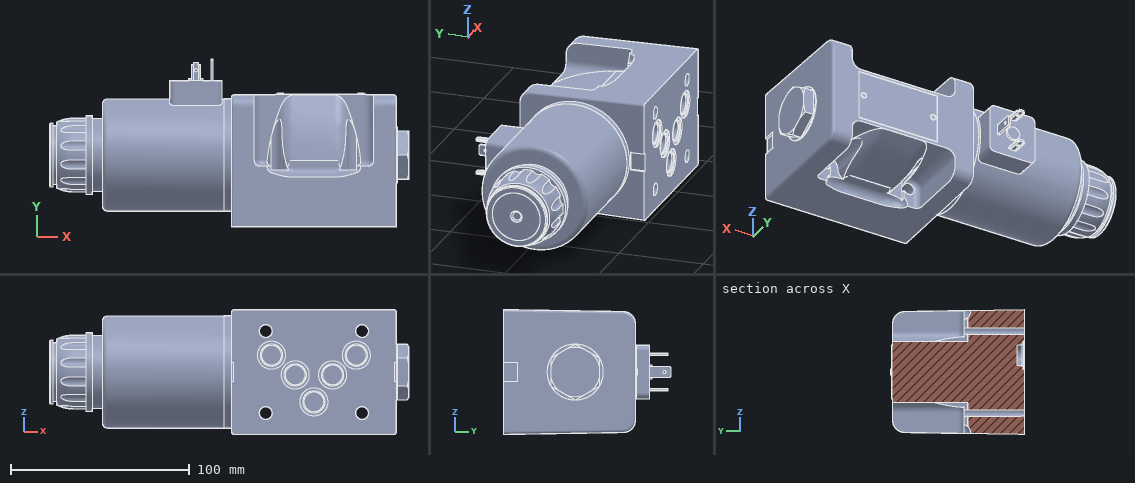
import cadquery as cq
import math


BLOCK_LENGTH = 92.4
BLOCK_DEPTH = 74.0
BLOCK_HEIGHT = 70.0
BLOCK_FAR_HEIGHT = 67.6
BLOCK_CORNER = 7.0
BLOCK_EDGE_FILLET = 1.6
BLOCK_MID_X = BLOCK_LENGTH / 2
AXIS_Y = 40.3

BOLT_DIAMETER = 7.0
BOLT_SPACING_X = 54.0
BOLT_SPACING_Z = 45.9
PORT_RIM_DIAMETER = 15.7
PORT_SEAT_DIAMETER = 12.5
PORT_BORE_DIAMETER = 11.0
PORT_RIM_DEPTH = 0.8
PORT_SEAT_DEPTH = 1.6
PORT_BORE_DEPTH = 4.2
OUTER_PORT_X, OUTER_PORT_Z = 23.8, 9.5
INNER_PORT_X, INNER_PORT_Z = 10.5, -1.6
CENTRE_PORT_Z = -16.7

NOTCH_WIDTH = 10.5
NOTCH_RISE = 8.0
NOTCH_DEPTH = 1.2

POCKET_LENGTH = 66.8
POCKET_START_Y = 34.0
POCKET_FLOOR_Z = 17.1
POCKET_SIDE_FILLET = 5.6
POCKET_END_FILLET = 3.2
RIB_TOP_LENGTH = 23.0
RIB_CREST_Y = 28.0
RIB_CREST_Z = 29.0
RIB_CREST_RADIUS = 94.6
RIB_SHOULDER_RADIUS = 10.0
RIB_FLANK_ANGLE = 48
RELIEF_WALL_X = 18.0
RELIEF_TOP_X = 12.0
RELIEF_START_Y = 32.0
COVE_HALF_LENGTH = 26.2
COVE_FLOOR_Z = 28.4
COVE_RADIUS = 5.5

PLATE_LENGTH = 51.0
PLATE_WIDTH = 30.2
PLATE_THICKNESS = 0.5
PLATE_OFFSET_X = 3.8
RIVET_SPACING = 45.0
RIVET_DIAMETER = 3.2
RIVET_HEIGHT = 1.0

COIL_DIAMETER = 63.0
COIL_LENGTH = 72.3
COIL_FILLET = 3.0
COLLAR_DIAMETER = 63.2
COLLAR_LENGTH = 4.0
CONNECTOR_MID_X = -20.0
CONNECTOR_LENGTH = 29.4
CONNECTOR_WIDTH = 30.2
CONNECTOR_TOP_Y = 82.0
CONNECTOR_CORNER = 3.2
BOSS_DIAMETER = 8.0
BOSS_HEIGHT = 1.2
BLADE_HOLE_DIAMETER = 1.5
BLADE_SPACING_Z = 19.7
BLADE_CORE_WIDTH = 2.8
BLADE_CORE_THICKNESS = 1.5
BLADE_CORE_TOP_Y = 92.2
BLADE_WING_WIDTH = 5.0
BLADE_WING_THICKNESS = 0.8
BLADE_WING_TOP_Y = 91.0
BLADE_HOLE_Y = 87.8
EARTH_BLADE_X = -10.9
EARTH_BLADE_WIDTH = 6.2
EARTH_BLADE_THICKNESS = 1.2
EARTH_BLADE_TOP_Y = 94.0
EARTH_BLADE_CHAMFER = 0.8
EARTH_HOLE_Y = 90.2

NUT_END_X = -101.9
CAP_DIAMETER = 36.0
CAP_LENGTH = 2.0
CAP_CHAMFER = 0.6
CAP_RECESS_DIAMETER = 28.4
CAP_RECESS_DEPTH = 0.2
CAP_HOLE_DIAMETER = 7.0
CAP_HOLE_FLOOR_DIAMETER = 4.8
CAP_HOLE_DEPTH = 1.2
NECK_DIAMETER = 33.0
GRIP_DIAMETER = 41.5
GRIP_NOSE_DIAMETER = 37.0
GRIP_START_X = -97.8
GRIP_STRAIGHT_X = -88.8
FLANGE_DIAMETER = 44.3
TAIL_DIAMETER = 41.0
FLANGE_START_X = -81.5
FLANGE_LENGTH = 3.6
FLUTE_COUNT = 12
FLUTE_RADIUS = 4.0
FLUTE_FLOOR_RADIUS = 19.5

PLUG_END_X = NUT_END_X + 201.3
PLUG_WASHER_DIAMETER = 31.5
PLUG_WASHER_THICKNESS = 0.6
PLUG_HEX_ACROSS_CORNERS = 31.5
PLUG_CHAMFER_RADIAL = 1.8
PLUG_CHAMFER_AXIAL = 1.0


def box_between(x_range, y_range, z_range):
    """Axis-aligned box given by its limits on each axis."""
    size = [high - low for low, high in (x_range, y_range, z_range)]
    corner = (x_range[0], y_range[0], z_range[0])
    return cq.Workplane("XY").box(*size, centered=False).translate(corner)


def rod_along_x(diameter, start_x, length):
    """Cylinder on the common axis of coil, nut and plug."""
    plane = cq.Workplane("YZ", origin=(start_x, AXIS_Y, 0))
    return plane.circle(diameter / 2).extrude(length)


def rods_along_y(points, diameter, start_y, length):
    """Cylinders along +Y at the given (X, Z) points."""
    plane = cq.Workplane(cq.Plane(origin=(0, start_y, 0), xDir=(1, 0, 0), normal=(0, 1, 0)))
    flipped = [(x, -z) for x, z in points]
    return plane.pushPoints(flipped).circle(diameter / 2).extrude(length)



def block_blank():
    near = BLOCK_HEIGHT / 2
    far = BLOCK_FAR_HEIGHT / 2
    blank = (
        cq.Workplane("YZ")
        .polyline([(0, -near), (BLOCK_DEPTH, -far), (BLOCK_DEPTH, far), (0, near)])
        .close()
        .extrude(BLOCK_LENGTH)
    )
    blank = blank.edges(">Y and |X").fillet(BLOCK_CORNER)
    return blank.faces("<X or >X").edges("not <Y").fillet(BLOCK_EDGE_FILLET)


def pocket():
    """Bolt-head pocket in the +Z face, open towards +Y, before the rib is added."""
    half = POCKET_LENGTH / 2
    body = box_between(
        (BLOCK_MID_X - half, BLOCK_MID_X + half),
        (POCKET_START_Y, 2 * BLOCK_DEPTH),
        (POCKET_FLOOR_Z, BLOCK_HEIGHT),
    )
    body = body.edges("|Y and <Z").fillet(POCKET_SIDE_FILLET)
    return body.faces("<Y").edges("<Z").fillet(POCKET_END_FILLET)


def rib():
    """Crowned rib: a round-shouldered section swept along the crest arc, about an axis along X."""
    flat = RIB_TOP_LENGTH / 2
    flank = math.radians(RIB_FLANK_ANGLE)
    root_z = 0

    def shoulder(angle):
        return (
            flat + RIB_SHOULDER_RADIUS * math.sin(angle),
            RIB_CREST_Z - RIB_SHOULDER_RADIUS * (1 - math.cos(angle)),
        )

    middle_x, middle_z = shoulder(flank / 2)
    end_x, end_z = shoulder(flank)
    root_x = end_x + (end_z - root_z) / math.tan(flank)
    section = (
        cq.Workplane("XZ", origin=(BLOCK_MID_X, RIB_CREST_Y, 0))
        .moveTo(-root_x, root_z)
        .lineTo(-end_x, end_z)
        .threePointArc((-middle_x, middle_z), (-flat, RIB_CREST_Z))
        .lineTo(flat, RIB_CREST_Z)
        .threePointArc((middle_x, middle_z), (end_x, end_z))
        .lineTo(root_x, root_z)
        .close()
    )
    axis_z = RIB_CREST_Z - RIB_CREST_RADIUS
    sweep_angle = 60
    swept = section.revolve(sweep_angle, (0, axis_z, 0), (-1, axis_z, 0))
    keep = box_between((0, BLOCK_LENGTH), (RIB_CREST_Y, BLOCK_DEPTH), (0, BLOCK_HEIGHT))
    return swept.intersect(keep)


def bolt_relief(side):
    """Space beside the rib for a bolt head: hollow at the foot, rounded over at the top."""
    round_radius = RELIEF_WALL_X - RELIEF_TOP_X
    wall_z = RIB_CREST_Z - round_radius
    hollow_radius = wall_z - POCKET_FLOOR_Z
    foot_x = RELIEF_WALL_X + hollow_radius
    hollow = hollow_radius * math.sqrt(0.5)
    round_over = round_radius * math.sqrt(0.5)
    plane = cq.Workplane("XZ", origin=(BLOCK_MID_X, RELIEF_START_Y, 0))
    profile = (
        plane.moveTo(side * foot_x, POCKET_FLOOR_Z)
        .threePointArc(
            (side * (foot_x - hollow), wall_z - hollow),
            (side * RELIEF_WALL_X, wall_z),
        )
        .threePointArc(
            (side * (RELIEF_TOP_X + round_over), wall_z + round_over),
            (side * RELIEF_TOP_X, RIB_CREST_Z),
        )
        .lineTo(side * RELIEF_TOP_X, BLOCK_HEIGHT)
        .lineTo(side * foot_x, BLOCK_HEIGHT)
        .close()
    )
    return profile.extrude(-BLOCK_DEPTH)


def cove():
    """Rounded recess that runs the rib crest out into the Z face."""
    flat = RIB_TOP_LENGTH / 2
    reach = POCKET_START_Y - RIB_CREST_Y
    width = COVE_HALF_LENGTH - flat
    bend = math.sqrt(0.5)
    outline = (
        cq.Workplane("XY", origin=(BLOCK_MID_X, POCKET_START_Y, COVE_FLOOR_Z))
        .moveTo(-COVE_HALF_LENGTH, 0)
        .spline(
            [(-flat - width * bend, -reach * bend), (-flat, -reach)],
            tangents=[(0, -1), (1, 0)],
            includeCurrent=True,
        )
        .lineTo(flat, -reach)
        .spline(
            [(flat + width * bend, -reach * bend), (COVE_HALF_LENGTH, 0)],
            tangents=[(1, 0), (0, 1)],
            includeCurrent=True,
        )
        .lineTo(COVE_HALF_LENGTH, POCKET_END_FILLET)
        .lineTo(-COVE_HALF_LENGTH, POCKET_END_FILLET)
        .close()
    )
    return outline.extrude(BLOCK_HEIGHT).faces("<Z").edges("not >Y").fillet(COVE_RADIUS)


def make_block():
    block = block_blank()
    pockets = pocket().cut(rib()).union(cove())
    for side in (-1, 1):
        pockets = pockets.union(bolt_relief(side))
    block = block.cut(pockets).cut(pockets.mirror("XY"))

    bolts = [
        (BLOCK_MID_X + sx * BOLT_SPACING_X / 2, sz * BOLT_SPACING_Z / 2)
        for sx in (-1, 1)
        for sz in (-1, 1)
    ]
    block = block.cut(rods_along_y(bolts, BOLT_DIAMETER, 0, BLOCK_DEPTH))

    ports = [
        (BLOCK_MID_X - OUTER_PORT_X, OUTER_PORT_Z),
        (BLOCK_MID_X - INNER_PORT_X, INNER_PORT_Z),
        (BLOCK_MID_X, CENTRE_PORT_Z),
        (BLOCK_MID_X + INNER_PORT_X, INNER_PORT_Z),
        (BLOCK_MID_X + OUTER_PORT_X, OUTER_PORT_Z),
    ]
    for diameter, depth in (
        (PORT_RIM_DIAMETER, PORT_RIM_DEPTH),
        (PORT_SEAT_DIAMETER, PORT_SEAT_DEPTH),
        (PORT_BORE_DIAMETER, PORT_BORE_DEPTH),
    ):
        block = block.cut(rods_along_y(ports, diameter, 0, depth))

    for face_x in (0, BLOCK_LENGTH):
        block = block.cut(
            box_between(
                (face_x - NOTCH_DEPTH, face_x + NOTCH_DEPTH),
                (0, NOTCH_RISE),
                (-NOTCH_WIDTH / 2, NOTCH_WIDTH / 2),
            )
        )

    plate_x = BLOCK_MID_X + PLATE_OFFSET_X
    plate = box_between(
        (plate_x - PLATE_LENGTH / 2, plate_x + PLATE_LENGTH / 2),
        (BLOCK_DEPTH, BLOCK_DEPTH + PLATE_THICKNESS),
        (-PLATE_WIDTH / 2, PLATE_WIDTH / 2),
    )
    rivets = [(plate_x + side * RIVET_SPACING / 2, 0) for side in (-1, 1)]
    return block.union(plate).union(rods_along_y(rivets, RIVET_DIAMETER, BLOCK_DEPTH, RIVET_HEIGHT))



def line_blade(z):
    """Contact blade lying in an X-Y plane, with a thick core between thinner wings."""
    def plate(width, thickness, top_y):
        return box_between(
            (CONNECTOR_MID_X - width / 2, CONNECTOR_MID_X + width / 2),
            (AXIS_Y, top_y),
            (z - thickness / 2, z + thickness / 2),
        )

    blade = plate(BLADE_CORE_WIDTH, BLADE_CORE_THICKNESS, BLADE_CORE_TOP_Y).union(
        plate(BLADE_WING_WIDTH, BLADE_WING_THICKNESS, BLADE_WING_TOP_Y)
    )
    hole = (
        cq.Workplane("XY", origin=(CONNECTOR_MID_X, BLADE_HOLE_Y, z))
        .circle(BLADE_HOLE_DIAMETER / 2)
        .extrude(BLADE_CORE_THICKNESS, both=True)
    )
    return blade.cut(hole)


def earth_blade():
    """Contact blade lying in a Y-Z plane."""
    half = EARTH_BLADE_THICKNESS / 2
    blade = box_between(
        (EARTH_BLADE_X - half, EARTH_BLADE_X + half),
        (AXIS_Y, EARTH_BLADE_TOP_Y),
        (-EARTH_BLADE_WIDTH / 2, EARTH_BLADE_WIDTH / 2),
    )
    blade = blade.edges(">Y and |X").chamfer(EARTH_BLADE_CHAMFER)
    hole = (
        cq.Workplane("YZ", origin=(EARTH_BLADE_X, EARTH_HOLE_Y, 0))
        .circle(BLADE_HOLE_DIAMETER / 2)
        .extrude(EARTH_BLADE_THICKNESS, both=True)
    )
    return blade.cut(hole)


def make_coil():
    winding = rod_along_x(COIL_DIAMETER, -COIL_LENGTH, COIL_LENGTH - COLLAR_LENGTH)
    winding = winding.faces("<X").edges().fillet(COIL_FILLET)
    coil = winding.union(rod_along_x(COLLAR_DIAMETER, -COLLAR_LENGTH, COLLAR_LENGTH))

    connector = box_between(
        (CONNECTOR_MID_X - CONNECTOR_LENGTH / 2, CONNECTOR_MID_X + CONNECTOR_LENGTH / 2),
        (AXIS_Y, CONNECTOR_TOP_Y),
        (-CONNECTOR_WIDTH / 2, CONNECTOR_WIDTH / 2),
    )
    coil = coil.union(connector.edges("|Y").fillet(CONNECTOR_CORNER))
    coil = coil.union(rods_along_y([(CONNECTOR_MID_X, 0)], BOSS_DIAMETER, CONNECTOR_TOP_Y, BOSS_HEIGHT))
    for z in (-BLADE_SPACING_Z / 2, BLADE_SPACING_Z / 2):
        coil = coil.union(line_blade(z))
    return coil.union(earth_blade())



def nut_blank():
    """Turned shape of the nut, revolved about the common axis."""
    cap_r = CAP_DIAMETER / 2
    neck_r = NECK_DIAMETER / 2
    grip_r = GRIP_DIAMETER / 2
    nose_r = GRIP_NOSE_DIAMETER / 2
    flange_r = FLANGE_DIAMETER / 2
    tail_r = TAIL_DIAMETER / 2
    cap_end_x = NUT_END_X + CAP_LENGTH
    flange_end_x = FLANGE_START_X + FLANGE_LENGTH
    nose_run = GRIP_STRAIGHT_X - GRIP_START_X
    nose_rise = grip_r - nose_r
    nose_arc_radius = (nose_run**2 + nose_rise**2) / (2 * nose_rise)
    half_turn = math.asin(nose_run / nose_arc_radius) / 2
    nose_middle_x = GRIP_STRAIGHT_X - nose_arc_radius * math.sin(half_turn)
    nose_middle_r = grip_r - nose_arc_radius * (1 - math.cos(half_turn))
    return (
        cq.Workplane("XY", origin=(0, AXIS_Y, 0))
        .moveTo(NUT_END_X, 0)
        .lineTo(NUT_END_X, cap_r - CAP_CHAMFER)
        .lineTo(NUT_END_X + CAP_CHAMFER, cap_r)
        .lineTo(cap_end_x, cap_r)
        .lineTo(cap_end_x, neck_r)
        .lineTo(GRIP_START_X, neck_r)
        .lineTo(GRIP_START_X, nose_r)
        .threePointArc((nose_middle_x, nose_middle_r), (GRIP_STRAIGHT_X, grip_r))
        .lineTo(FLANGE_START_X, grip_r)
        .lineTo(FLANGE_START_X, flange_r)
        .lineTo(flange_end_x, flange_r)
        .lineTo(flange_end_x, tail_r)
        .lineTo(-COIL_LENGTH, tail_r)
        .lineTo(-COIL_LENGTH, 0)
        .close()
        .revolve(360, (0, 0, 0), (1, 0, 0))
    )


def make_nut():
    nut = nut_blank()
    flutes = (
        cq.Workplane("YZ", origin=(GRIP_START_X, AXIS_Y, 0))
        .polarArray(FLUTE_FLOOR_RADIUS + FLUTE_RADIUS, 180 / FLUTE_COUNT, 360, FLUTE_COUNT)
        .circle(FLUTE_RADIUS)
        .extrude(FLANGE_START_X - GRIP_START_X)
    )
    nut = nut.cut(flutes)
    nut = nut.cut(rod_along_x(CAP_RECESS_DIAMETER, NUT_END_X, CAP_RECESS_DEPTH))
    hole = (
        cq.Workplane("YZ", origin=(NUT_END_X, AXIS_Y, 0))
        .circle(CAP_HOLE_DIAMETER / 2)
        .workplane(offset=CAP_HOLE_DEPTH)
        .circle(CAP_HOLE_FLOOR_DIAMETER / 2)
        .loft()
    )
    return nut.cut(hole)



def make_plug():
    washer = rod_along_x(PLUG_WASHER_DIAMETER, BLOCK_LENGTH, PLUG_WASHER_THICKNESS)
    length = PLUG_END_X - BLOCK_LENGTH
    hexagon = (
        cq.Workplane("YZ", origin=(BLOCK_LENGTH, AXIS_Y, 0))
        .transformed(rotate=(0, 0, 90))
        .polygon(6, PLUG_HEX_ACROSS_CORNERS)
        .extrude(length)
    )
    turned = rod_along_x(PLUG_HEX_ACROSS_CORNERS, BLOCK_LENGTH, length)
    turned = turned.faces(">X").edges().chamfer(PLUG_CHAMFER_AXIAL, PLUG_CHAMFER_RADIAL)
    return washer.union(hexagon.intersect(turned))


block = make_block()
coil = make_coil()
nut = make_nut()
plug = make_plug()

result = cq.Compound.makeCompound([block.val(), coil.val(), nut.val(), plug.val()])